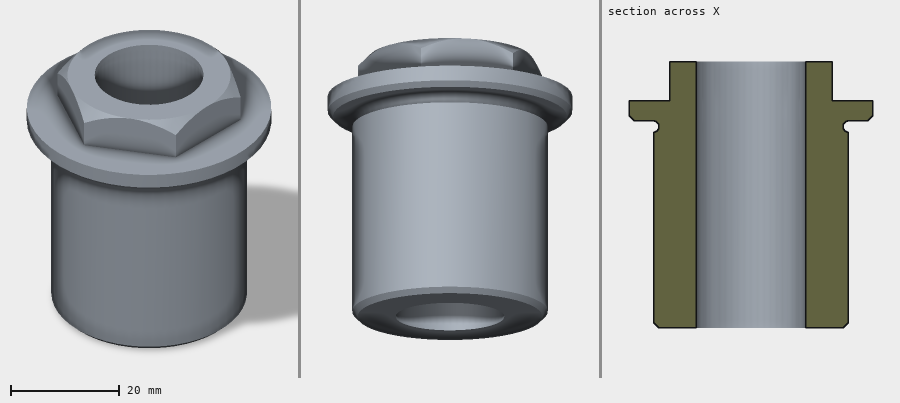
import cadquery as cq
import math

total_height = 49.0
flange_top = 41.8
flange_bottom = 38.0
body_top = 36.0

flange_radius = 22.5
body_radius = 18.0
bore_radius = 10.0
hex_across_flats = 30.0

groove_radius = (flange_bottom - body_top) / 2

body_chamfer = 1.0
flange_chamfer = 1.0


def turned_body():
    """Sleeve, half-round groove and flange as one revolved profile."""
    profile = (
        cq.Workplane("XZ")
        .lineTo(body_radius - body_chamfer, 0)
        .lineTo(body_radius, body_chamfer)
        .lineTo(body_radius, body_top)
        .threePointArc((body_radius - groove_radius, body_top + groove_radius), (body_radius, flange_bottom))
        .lineTo(flange_radius - flange_chamfer, flange_bottom)
        .lineTo(flange_radius, flange_bottom + flange_chamfer)
        .lineTo(flange_radius, flange_top)
        .lineTo(0, flange_top)
        .close()
    )
    return profile.revolve(360, (0, 0, 0), (0, 1, 0))


def hex_head():
    """Hexagon with corners on the X axis, its top corners cut by a 45 degree cone."""
    head_height = total_height - flange_top
    across_corners = hex_across_flats / math.cos(math.radians(30))
    prism = (
        cq.Workplane("XY", origin=(0, 0, flange_top))
        .polygon(6, across_corners)
        .extrude(head_height)
    )
    top_radius = hex_across_flats / 2
    cone = (
        cq.Workplane("XZ", origin=(0, 0, flange_top))
        .lineTo(top_radius + head_height, 0)
        .lineTo(top_radius, head_height)
        .lineTo(0, head_height)
        .close()
        .revolve(360, (0, 0, 0), (0, 1, 0))
    )
    return prism.intersect(cone)


bore = cq.Workplane("XY").circle(bore_radius).extrude(total_height)
result = turned_body().union(hex_head()).cut(bore)